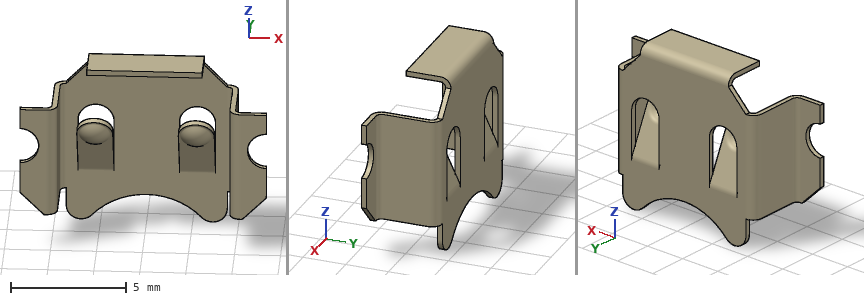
import cadquery as cq
import math

overall_width = 10.71
overall_depth = 3.05
overall_height = 8.0
sheet = 0.25
bend_inner = 0.25
bend_outer = bend_inner + sheet

panel_half_width = 3.5
arch_top = 1.24
lobe_radius = 0.64

tab_half_width = 2.51
tab_depth = 2.1

leg_top = 6.48
leg_bottom = 1.47
foot_notch_radius = 0.81
foot_notch_height = 4.75
foot_chamfer = 1.05

tongue_spacing = 4.41
tongue_width = 1.56
tongue_tip_radius = tongue_width / 2
slot_bottom = 2.35
slot_top = 5.5
tongue_angle = math.radians(25)
tongue_bend_inner = 0.26
tongue_blade_length = 2.3

dome_height = 0.31
dome_base_radius = 0.7
dome_root_fillet = 0.06

diagonal = math.sqrt(0.5)


def make_panel():
    """Flat back panel with sloped shoulders and an arched lower edge."""
    shoulder_top = overall_height - bend_outer
    lobe_x = panel_half_width - lobe_radius
    arch_drop = arch_top - lobe_radius
    arch_radius = (lobe_x**2 + arch_drop**2 - lobe_radius**2) / (2 * (lobe_radius + arch_drop))
    arch_centre = arch_top - arch_radius
    blend = lobe_radius / (lobe_radius + arch_radius)
    tangent_x = lobe_x * (1 - blend)
    tangent_z = lobe_radius + (arch_centre - lobe_radius) * blend
    return (
        cq.Workplane("XZ")
        .moveTo(-tab_half_width, shoulder_top)
        .lineTo(tab_half_width, shoulder_top)
        .lineTo(panel_half_width, leg_top)
        .lineTo(panel_half_width, lobe_radius)
        .threePointArc((lobe_x, 0), (tangent_x, tangent_z))
        .threePointArc((0, arch_top), (-tangent_x, tangent_z))
        .threePointArc((-lobe_x, 0), (-panel_half_width, lobe_radius))
        .lineTo(-panel_half_width, leg_top)
        .close()
        .extrude(sheet)
    )


def make_tab():
    """Tab bent forward along the top edge of the panel."""
    bend_z = overall_height - bend_outer
    return (
        cq.Workplane("YZ")
        .moveTo(0, bend_z)
        .threePointArc(
            (-bend_outer * (1 - diagonal), bend_z + bend_outer * diagonal),
            (-bend_outer, overall_height),
        )
        .lineTo(-tab_depth, overall_height)
        .lineTo(-tab_depth, overall_height - sheet)
        .lineTo(-bend_outer, overall_height - sheet)
        .threePointArc(
            (-bend_outer + bend_inner * diagonal, bend_z + bend_inner * diagonal),
            (-sheet, bend_z),
        )
        .close()
        .extrude(tab_half_width, both=True)
    )


def make_right_leg():
    """Leg bent forward from the panel, ending in an outward mounting foot."""
    leg_outer = panel_half_width + bend_outer
    leg_inner = leg_outer - sheet
    foot_bend_x = leg_inner + bend_outer
    foot_bend_y = bend_outer - overall_depth
    half_width = overall_width / 2
    leg = (
        cq.Workplane("XY", origin=(0, 0, leg_bottom))
        .moveTo(panel_half_width, 0)
        .threePointArc(
            (panel_half_width + bend_outer * diagonal, -bend_outer * (1 - diagonal)),
            (leg_outer, -bend_outer),
        )
        .lineTo(leg_outer, foot_bend_y)
        .threePointArc(
            (foot_bend_x - bend_inner * diagonal, foot_bend_y - bend_inner * diagonal),
            (foot_bend_x, sheet - overall_depth),
        )
        .lineTo(half_width, sheet - overall_depth)
        .lineTo(half_width, -overall_depth)
        .lineTo(foot_bend_x, -overall_depth)
        .threePointArc(
            (foot_bend_x - bend_outer * diagonal, foot_bend_y - bend_outer * diagonal),
            (leg_inner, foot_bend_y),
        )
        .lineTo(leg_inner, -bend_outer)
        .threePointArc(
            (panel_half_width + bend_inner * diagonal, -bend_outer + bend_inner * diagonal),
            (panel_half_width, -sheet),
        )
        .close()
        .extrude(leg_top - leg_bottom)
    )
    notch = (
        cq.Workplane("XZ")
        .center(half_width, foot_notch_height)
        .circle(foot_notch_radius)
        .extrude(overall_depth)
    )
    corner = (
        cq.Workplane("XZ")
        .moveTo(half_width, leg_bottom)
        .lineTo(half_width, leg_bottom + foot_chamfer)
        .lineTo(half_width - foot_chamfer, leg_bottom)
        .close()
        .extrude(overall_depth)
    )
    return leg.cut(notch).cut(corner)


def make_slot(x):
    """Cutter for the round-topped opening that a tongue leaves in the panel."""
    arc_centre = slot_top - tongue_tip_radius
    return (
        cq.Workplane("XZ", origin=(x, 0, 0))
        .moveTo(-tongue_tip_radius, slot_bottom)
        .lineTo(tongue_tip_radius, slot_bottom)
        .lineTo(tongue_tip_radius, arc_centre)
        .threePointArc((0, slot_top), (-tongue_tip_radius, arc_centre))
        .close()
        .extrude(sheet)
    )


def make_tongue(x):
    """Spring tongue: a short bend, a sloping blade and a dome at its round tip."""
    hinge_y = -sheet - tongue_bend_inner

    def bend_point(radius, angle):
        return (hinge_y + radius * math.cos(angle), slot_bottom + radius * math.sin(angle))

    bend_back = tongue_bend_inner + sheet
    bend = (
        cq.Workplane("YZ", origin=(x, 0, 0))
        .moveTo(*bend_point(tongue_bend_inner, 0))
        .threePointArc(
            bend_point(tongue_bend_inner, tongue_angle / 2),
            bend_point(tongue_bend_inner, tongue_angle),
        )
        .lineTo(*bend_point(bend_back, tongue_angle))
        .threePointArc(bend_point(bend_back, tongue_angle / 2), bend_point(bend_back, 0))
        .close()
        .extrude(tongue_tip_radius, both=True)
    )

    bend_end_y, bend_end_z = bend_point(tongue_bend_inner, tongue_angle)
    tip_centre = (
        x,
        bend_end_y - tongue_blade_length * math.sin(tongue_angle),
        bend_end_z + tongue_blade_length * math.cos(tongue_angle),
    )
    front_normal = (0, -math.cos(tongue_angle), -math.sin(tongue_angle))
    blade_plane = cq.Plane(origin=tip_centre, xDir=(1, 0, 0), normal=front_normal)
    blade = (
        cq.Workplane(blade_plane)
        .moveTo(-tongue_tip_radius, -tongue_blade_length)
        .lineTo(tongue_tip_radius, -tongue_blade_length)
        .lineTo(tongue_tip_radius, 0)
        .threePointArc((0, tongue_tip_radius), (-tongue_tip_radius, 0))
        .close()
        .extrude(-sheet)
    )
    recess = cq.Workplane(blade_plane).circle(dome_base_radius).extrude(-sheet)
    dome = make_dome().val().moved(cq.Location(blade_plane))
    return bend.union(blade.cut(recess)).union(dome)


def make_dome():
    """Pressed dome of constant sheet thickness about Z, with the blade's front face at Z = 0."""
    crown_radius = (dome_base_radius**2 / dome_height + dome_height) / 2 - dome_root_fillet
    crown_centre = dome_height - crown_radius
    lean = math.asin(dome_base_radius / (crown_radius + dome_root_fillet))

    def crown_point(radius, angle):
        return (radius * math.sin(angle), crown_centre + radius * math.cos(angle))

    def root_point(radius, angle):
        return (
            dome_base_radius - radius * math.sin(angle),
            dome_root_fillet - radius * math.cos(angle),
        )

    inner_crown = crown_radius - sheet
    outer_root = dome_root_fillet + sheet
    return (
        cq.Workplane("XZ")
        .moveTo(0, dome_height)
        .threePointArc(crown_point(crown_radius, lean / 2), crown_point(crown_radius, lean))
        .threePointArc(root_point(dome_root_fillet, lean / 2), (dome_base_radius, 0))
        .lineTo(dome_base_radius, -sheet)
        .threePointArc(root_point(outer_root, lean / 2), root_point(outer_root, lean))
        .threePointArc(crown_point(inner_crown, lean / 2), (0, dome_height - sheet))
        .close()
        .revolve(360, (0, 0, 0), (0, 1, 0))
    )


right_leg = make_right_leg()
result = make_panel().union(make_tab()).union(right_leg).union(right_leg.mirror("YZ"))
for tongue_x in (-tongue_spacing / 2, tongue_spacing / 2):
    result = result.cut(make_slot(tongue_x)).union(make_tongue(tongue_x))